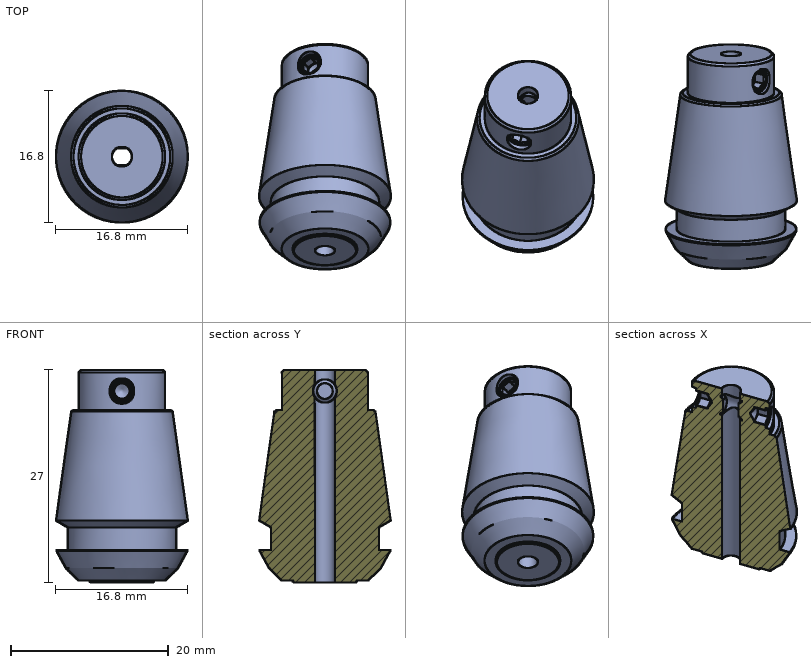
import cadquery as cq
import math

total_height = 27.0
boss_height = 0.25
flare_break_z = 1.84
rim_bottom_z = 4.0
rim_top_z = 4.15
groove_top_z = 7.0
widest_z = 7.85
shoulder_z = 21.92
shoulder_chamfer_height = 0.25
cap_chamfer = 0.32

boss_radius = 4.1
boss_chamfer = 0.15
base_radius = 5.5
flare_break_radius = 7.13
rim_radius = 16.6 / 2
groove_radius = 13.8 / 2
widest_radius = 16.77 / 2
shoulder_radius = 6.45
shoulder_chamfer_width = 0.32
cap_radius = 11.0 / 2

bore_radius = 2.5 / 2
screw_z = 24.3
mouth_radius = 3.25 / 2
screw_radius = 1.48
screw_face_distance = 4.91
screw_tip_distance = 1.05
tip_radius = 1.0
tip_taper_length = screw_radius - tip_radius
tip_root_distance = screw_tip_distance + tip_taper_length
socket_across_flats = 1.97
socket_depth = 1.62
socket_cone_depth = 0.6
countersink_radius = 2.5 / 2
countersink_depth = 0.15

socket_flat_radius = socket_across_flats / 2
socket_corner_diameter = socket_across_flats / math.cos(math.pi / 6)


def turned_body():
    """Revolve the stepped outer profile about Z."""
    profile = [
        (0, 0),
        (boss_radius - boss_chamfer, 0),
        (boss_radius, boss_chamfer),
        (boss_radius, boss_height),
        (base_radius, boss_height),
        (flare_break_radius, flare_break_z),
        (rim_radius, rim_bottom_z),
        (rim_radius, rim_top_z),
        (groove_radius, rim_top_z),
        (groove_radius, groove_top_z),
        (widest_radius, widest_z),
        (shoulder_radius, shoulder_z - shoulder_chamfer_height),
        (shoulder_radius - shoulder_chamfer_width, shoulder_z),
        (cap_radius, shoulder_z),
        (cap_radius, total_height - cap_chamfer),
        (cap_radius - cap_chamfer, total_height),
        (0, total_height),
    ]
    return cq.Workplane("XZ").polyline(profile).close().revolve(360, (0, 0), (0, 1))


def screw_round(profile):
    """Revolve (distance from the bore axis, radius) points about the -Y screw axis."""
    points = [(-distance, radius) for distance, radius in profile]
    half_section = cq.Workplane("YZ", origin=(0, 0, screw_z)).polyline(points).close()
    return half_section.revolve(360, (0, 0), (1, 0))


def screw_mouth():
    """Tapered opening in the cap wall, ending at the recessed screw face."""
    return screw_round([
        (screw_face_distance, 0),
        (screw_face_distance, screw_radius),
        (cap_radius, mouth_radius),
        (cap_radius, 0),
    ])


def screw_socket():
    """Countersunk hexagon socket with a conical floor."""
    floor_distance = screw_face_distance - socket_depth
    face = cq.Workplane("XZ", origin=(0, -screw_face_distance, screw_z))
    hexagon = face.transformed(rotate=(0, 0, 90)).polygon(6, socket_corner_diameter).extrude(-socket_depth)
    round_part = screw_round([
        (floor_distance - socket_cone_depth, 0),
        (floor_distance, socket_flat_radius),
        (screw_face_distance - countersink_depth, socket_flat_radius),
        (screw_face_distance, countersink_radius),
        (screw_face_distance, 0),
    ])
    return hexagon.union(round_part)


def screw_hole():
    """Inner end of the screw hole, left open around the tapered tip."""
    return screw_round([
        (0, 0),
        (0, screw_radius),
        (tip_root_distance, screw_radius),
        (tip_root_distance, 0),
    ])


def screw_tip():
    """Tapered flat tip that stands proud of the bore wall."""
    return screw_round([
        (screw_tip_distance, 0),
        (screw_tip_distance, tip_radius),
        (tip_root_distance, screw_radius),
        (tip_root_distance, 0),
    ])


bore = cq.Workplane("XY").circle(bore_radius).extrude(total_height)
result = turned_body().cut(bore)
for side_angle in (0, 180):
    for cutter in (screw_mouth(), screw_socket(), screw_hole()):
        result = result.cut(cutter.rotate((0, 0, 0), (0, 0, 1), side_angle))
    result = result.union(screw_tip().rotate((0, 0, 0), (0, 0, 1), side_angle))